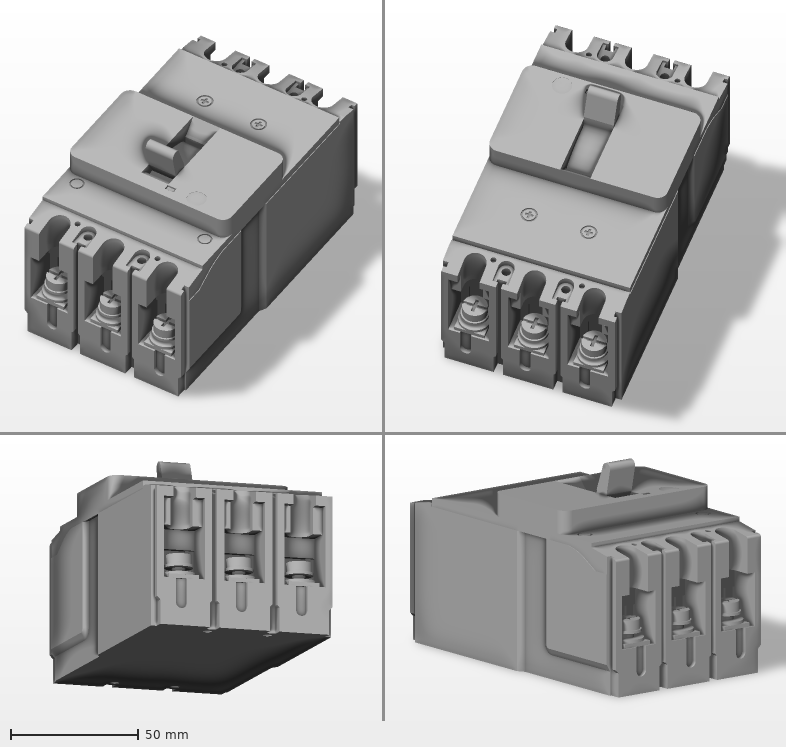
import cadquery as cq
import math


length = 130.0
width = 75.0
height = 82.7
half_length = length / 2
half_width = width / 2
pole_count = 3
pole_pitch = width / pole_count
pole_xs = [(i - (pole_count - 1) / 2) * pole_pitch for i in range(pole_count)]
slot_xs = [(i - pole_count / 2) * pole_pitch for i in range(pole_count + 1)]
ends = (-1, 1)
reach = 6.5

deck_top = 69.5
plate_top = 60.0
seam_z = 56.7
front_plate_y = -50.5
rear_plate_y = 50.2
front_step_z = 58.2
front_edge_z = 55.5
rear_flat_y = 53.7
rear_flat_z = 57.7
rear_edge_z = 55.5
front_edge_radius = 1.0
seam_dip_start_y = -35.6
seam_dip_middle = (-40.5, 55.6)
seam_dip_end = (-44.7, 54.1)
seam_low_y = -53.2
seam_low_z = 49.3
rear_groove = 0.4
cover_margin = 0.3

deck_front_y = -33.0
deck_rear_y = 11.7
deck_corner = 4.2

relief_depth = 1.7
relief_slope = 60.0
relief_run = relief_depth * math.tan(math.radians(relief_slope))
relief_rear_y = -3.8
panel_rear_y = -19.5
panel_bottom_z = 9.8
panel_corner = 4.4

neck_width = 2.1
inner_tee_width = 3.9
corner_tee_width = 4.8
neck_depth = 2.3
slot_depth = 4.5
slot_flare_z = 9.8

fixing_y = 56.0
fixing_diameter = 3.6
fixing_pocket_width = 6.6
fixing_pocket_z = 54.9
pin_x = 18.6
pin_y = 54.1
pin_diameter = 2.3
pin_depth = 2.6

terminal_y = 57.7
access_width = 9.2
pocket_width = 17.0
pocket_floor = 19.0
pocket_top = 40.7
pocket_step_z = 32.8
rear_recess_top = 51.5
rear_recess_depth = 3.8
upper_pocket_y = 52.0
lower_pocket_y = 50.7
recess_width = 10.3
recess_y = 49.4
bar_width = 12.6
bar_thickness = 1.7
bar_end_y = 64.2
keyway_offset = 1.3
keyway_width = 4.7
keyway_bottom = 6.9
keyway_depth = 2.0
screw_discs = [(13.3, 1.3), (5.5, 2.2), (11.5, 1.2), (10.1, 4.0)]
drive_width = 1.4
drive_length = 5.8
drive_depth = 1.3

cover_screw_y = 30.0
cover_screw_diameter = 6.8
cover_screw_head = 5.2
cover_drive_length = 3.4
cover_drive_width = 1.0
plug_x = 29.8
plug_y = -36.9
plug_diameter = 6.0
plug_head = 4.7
ring_depth = 0.6
button_x = 20.0
button_y = -27.5
button_diameter = 7.9
button_depth = 0.1
notch_rear_y = -27.0
notch_length = 2.3
notch_width = 4.0
notch_depth = 1.3
notch_gap = 0.4

window_width = 12.6
window_front_y = -26.5
window_foot_front_y = -23.1
window_foot_front_z = 67.1
window_foot_rear_y = 6.8
window_foot_rear_z = 63.7
well_rear_y = 5.8
well_rear_z = 63.0
window_floor = 52.0
drum_width = 12.5
drum_y = -10.9
drum_z = 28.6
drum_radius = 36.8
drum_rear_y = 1.8
drum_edge_z = 59.8
drum_round_y = 4.3
drum_round_z = 61.8
tip_y = -21.0
tip_radius = 2.3
tip_z = height - tip_radius
back_lean = math.radians(21.0)
front_lean = math.radians(12.0)
back_length = 10.9
front_length = 10.4
neck_y = -14.8
flare_y = -13.1
neck_front_y = -18.7


def block(x0, x1, y0, y1, z0, z1):
    """Box between two opposite corners."""
    return cq.Workplane("XY").box(x1 - x0, y1 - y0, z1 - z0, centered=False).translate((x0, y0, z0))


def wide_block(x, wide, y0, y1, z0, z1):
    """Box centred on x that spans y0 to y1 in either order."""
    return block(x - wide / 2, x + wide / 2, min(y0, y1), max(y0, y1), z0, z1)


def rod(x, y, z, diameter, tall):
    """Upright cylinder standing on height z."""
    return cq.Workplane("XY", origin=(x, y, z)).circle(diameter / 2).extrude(tall)


def cross(x, y, z, size_x, size_y, wide, deep):
    """Cross-shaped tool of the given depth below height z."""
    arm_x = wide_block(x, size_x, y - wide / 2, y + wide / 2, z - deep, z + reach)
    arm_y = wide_block(x, wide, y - size_y / 2, y + size_y / 2, z - deep, z + reach)
    return arm_x.union(arm_y)


def shell():
    """Solid side profile of base and cover plate, with the raised deck on top."""
    profile = [
        (-half_length, 0),
        (half_length, 0),
        (half_length, rear_edge_z),
        (rear_flat_y, rear_flat_z),
        (rear_plate_y + rear_groove, rear_flat_z),
        (rear_plate_y + rear_groove, seam_z),
        (rear_plate_y, seam_z),
        (rear_plate_y, plate_top),
        (front_plate_y, plate_top),
        (front_plate_y, front_step_z),
        (-half_length, front_edge_z),
    ]
    body = cq.Workplane("YZ").polyline(profile).close().extrude(half_width, both=True)
    front_edge = cq.selectors.NearestToPointSelector((0, -half_length, front_edge_z))
    body = body.edges(front_edge).fillet(front_edge_radius)
    for side in (-1, 1):
        body = body.cut(side_relief(side)).cut(cover_setback(side))
    deck_half = half_width - cover_margin
    deck = block(-deck_half, deck_half, deck_front_y, deck_rear_y, plate_top, deck_top)
    return body.union(deck.edges("|Z").fillet(deck_corner))


def side_relief(side):
    """Sloped-wall relief of a long side, leaving the raised panel standing."""
    outer = half_width
    inner = half_width - relief_depth
    wedge = [
        (outer, relief_rear_y),
        (inner, relief_rear_y - relief_run),
        (inner, -half_length - reach),
        (outer + reach, -half_length - reach),
        (outer + reach, relief_rear_y),
    ]
    relief = cq.Workplane("XY").polyline(wedge).close().extrude(seam_z)
    overrun = 3 * reach
    panel_length = half_length + panel_rear_y + overrun
    panel_height = seam_z - panel_bottom_z + overrun
    panel_y = panel_rear_y - panel_length / 2
    panel_z = panel_bottom_z + panel_height / 2
    panel = (
        cq.Workplane("YZ", origin=(inner, panel_y, panel_z))
        .sketch()
        .rect(panel_length, panel_height)
        .vertices()
        .fillet(panel_corner)
        .finalize()
        .extrude(relief_depth, taper=relief_slope)
    )
    relief = relief.cut(panel)
    return relief if side > 0 else relief.mirror("YZ")


def cover_setback(side):
    """Thin strip above the seam that makes the cover narrower than the base."""
    strip = (
        cq.Workplane("YZ", origin=(half_width - cover_margin, 0, 0))
        .moveTo(rear_plate_y + rear_groove, seam_z)
        .lineTo(seam_dip_start_y, seam_z)
        .threePointArc(seam_dip_middle, seam_dip_end)
        .lineTo(seam_low_y, seam_low_z)
        .lineTo(-half_length, seam_low_z)
        .lineTo(-half_length, plate_top)
        .lineTo(rear_plate_y + rear_groove, plate_top)
        .close()
        .extrude(reach)
    )
    return strip if side > 0 else strip.mirror("YZ")


def pole_slot(x, end, tee_width):
    """T-shaped slot beside a pole, its neck flared to full width near the bottom."""
    outer_y = end * (half_length + reach)
    tee = wide_block(
        x, tee_width, end * (half_length - slot_depth), end * (half_length - neck_depth), -reach, deck_top
    )
    flare = (tee_width - neck_width) / 2
    neck_profile = [
        (-tee_width / 2, -reach),
        (tee_width / 2, -reach),
        (tee_width / 2, slot_flare_z),
        (neck_width / 2, slot_flare_z + flare),
        (neck_width / 2, deck_top),
        (-neck_width / 2, deck_top),
        (-neck_width / 2, slot_flare_z + flare),
        (-tee_width / 2, slot_flare_z),
    ]
    neck = (
        cq.Workplane("XZ", origin=(x, end * (half_length - neck_depth), 0))
        .polyline(neck_profile)
        .close()
        .extrude(end * (half_length - neck_depth) - outer_y)
    )
    return tee.union(neck)


def fixing_hole(x, end):
    """Through hole in a round-ended pocket that opens into the pole slot."""
    hole = rod(x, end * fixing_y, -reach, fixing_diameter, deck_top)
    pocket = rod(x, end * fixing_y, fixing_pocket_z, fixing_pocket_width, deck_top)
    mouth = wide_block(
        x, fixing_pocket_width, end * fixing_y, end * (half_length - neck_depth), fixing_pocket_z, deck_top
    )
    return hole.union(pocket).union(mouth)


def pin_hole(x, end):
    """Small blind hole in the sloped end of the housing."""
    return rod(x, end * pin_y, rear_flat_z - pin_depth, pin_diameter, reach)


def terminal_cavity(x, end):
    """Screwdriver channel, stepped terminal pocket and the keyway below it."""
    outer_y = end * (half_length + reach)
    channel = rod(x, end * terminal_y, pocket_step_z, access_width, deck_top)
    mouth = wide_block(x, access_width, end * terminal_y, outer_y, pocket_step_z, deck_top)
    upper = wide_block(x, pocket_width, end * upper_pocket_y, outer_y, pocket_step_z, pocket_top)
    lower = wide_block(x, pocket_width, end * lower_pocket_y, outer_y, pocket_floor, pocket_step_z)
    recess = wide_block(x, recess_width, end * recess_y, outer_y, pocket_floor, pocket_step_z)
    key_x = x + keyway_offset
    key_y = end * (half_length - keyway_depth)
    key_centre_z = keyway_bottom + keyway_width / 2
    keyway = wide_block(key_x, keyway_width, key_y, outer_y, key_centre_z, pocket_floor)
    key_end = (
        cq.Workplane("XZ", origin=(key_x, key_y, key_centre_z))
        .circle(keyway_width / 2)
        .extrude(key_y - outer_y)
    )
    cavity = channel
    for piece in (mouth, upper, lower, recess, keyway, key_end):
        cavity = cavity.union(piece)
    return cavity


def rear_recess(x):
    """Shallow recess that carries a terminal pocket of the +Y end higher up the end face."""
    recess_foot_y = half_length - rear_recess_depth
    return wide_block(x, pocket_width, recess_foot_y, half_length + reach, pocket_step_z, rear_recess_top)


def terminal(x, end):
    """Connection bar on the pocket floor with its screw and washers."""
    bar_top = pocket_floor + bar_thickness
    part = wide_block(x, bar_width, end * lower_pocket_y, end * bar_end_y, pocket_floor, bar_top)
    z = bar_top
    for diameter, thickness in screw_discs:
        part = part.union(rod(x, end * terminal_y, z, diameter, thickness))
        z += thickness
    head_diameter = screw_discs[-1][0]
    drive = cross(x, end * terminal_y, z, head_diameter + drive_width, drive_length, drive_width, drive_depth)
    return part.cut(drive)


def ring_groove(x, y, outer, inner):
    """Annular groove around a screw head set flush in the cover plate."""
    z = plate_top - ring_depth
    return rod(x, y, z, outer, ring_depth).cut(rod(x, y, z, inner, ring_depth))


def handle_window():
    """Opening for the handle, with sloped end walls above a straight-sided well."""
    profile = [
        (window_front_y, deck_top),
        (window_foot_front_y, window_foot_front_z),
        (window_foot_front_y, window_floor),
        (well_rear_y, window_floor),
        (well_rear_y, well_rear_z),
        (window_foot_rear_y, window_foot_rear_z),
        (deck_rear_y, deck_top),
    ]
    return cq.Workplane("YZ").polyline(profile).close().extrude(window_width / 2, both=True)


def cover_cuts():
    """Handle window, button, notch and screw recesses of the cover."""
    cuts = [handle_window()]
    cuts.append(rod(button_x, button_y, deck_top - button_depth, button_diameter, button_depth))
    notch_x = (window_width + notch_width) / 2
    notch_front_y = notch_rear_y - notch_length
    notch_floor = deck_top - notch_depth
    notch = wide_block(notch_x, notch_width, notch_front_y, notch_rear_y, notch_floor, deck_top)
    pad = wide_block(
        notch_x,
        notch_width - 2 * notch_gap,
        notch_front_y + notch_gap,
        notch_rear_y - notch_gap,
        notch_floor,
        deck_top - notch_gap,
    )
    cuts.append(notch.cut(pad))
    for x in slot_xs[1:-1]:
        cuts.append(ring_groove(x, cover_screw_y, cover_screw_diameter, cover_screw_head))
        cuts.append(
            cross(x, cover_screw_y, plate_top, cover_drive_length, cover_drive_length,
                  cover_drive_width, ring_depth)
        )
    for x in (-plug_x, plug_x):
        cuts.append(ring_groove(x, plug_y, plug_diameter, plug_head))
    return cuts


def make_housing():
    """Base, cover and terminals as one solid."""
    body = shell()
    for cut in cover_cuts():
        body = body.cut(cut)
    for end in ends:
        for x in (slot_xs[0], slot_xs[-1]):
            body = body.cut(pole_slot(x, end, corner_tee_width))
        for x in slot_xs[1:-1]:
            body = body.cut(pole_slot(x, end, inner_tee_width))
            body = body.cut(fixing_hole(x, end))
        for x in (-pin_x, pin_x):
            body = body.cut(pin_hole(x, end))
        for x in pole_xs:
            body = body.cut(terminal_cavity(x, end))
            body = body.union(terminal(x, end))
    for x in pole_xs:
        body = body.cut(rear_recess(x))
    return body


def drum_height(y):
    """Height of the drum surface at y."""
    return drum_z + math.sqrt(drum_radius**2 - (y - drum_y) ** 2)


def make_handle():
    """Toggle handle: drum segment filling the window well, with the lever on its neck."""
    back_tip = (tip_y + tip_radius * math.cos(back_lean), tip_z + tip_radius * math.sin(back_lean))
    front_tip = (tip_y - tip_radius * math.cos(front_lean), tip_z - tip_radius * math.sin(front_lean))
    back_foot = (
        back_tip[0] + back_length * math.sin(back_lean),
        back_tip[1] - back_length * math.cos(back_lean),
    )
    front_foot = (
        front_tip[0] + front_length * math.sin(front_lean),
        front_tip[1] - front_length * math.cos(front_lean),
    )
    lever = (
        cq.Workplane("YZ")
        .moveTo(*back_foot)
        .lineTo(*back_tip)
        .threePointArc((tip_y, tip_z + tip_radius), front_tip)
        .lineTo(*front_foot)
        .close()
        .extrude(window_width / 2, both=True)
    )
    flare_radius = neck_y - flare_y
    flare_z = drum_height(flare_y)
    flare_mid = (
        flare_y + flare_radius * math.sin(math.pi / 4),
        flare_z - flare_radius * (1 - math.cos(math.pi / 4)),
    )
    drum_arc_middle_y = (drum_rear_y + flare_y) / 2
    front_arc_middle_y = (neck_front_y + window_foot_front_y) / 2
    drum = (
        cq.Workplane("YZ")
        .moveTo(window_foot_front_y, window_floor)
        .lineTo(well_rear_y, window_floor)
        .lineTo(well_rear_y, drum_edge_z)
        .threePointArc((drum_round_y, drum_round_z), (drum_rear_y, drum_height(drum_rear_y)))
        .threePointArc((drum_arc_middle_y, drum_height(drum_arc_middle_y)), (flare_y, flare_z))
        .threePointArc(flare_mid, (neck_y, flare_z - flare_radius))
        .lineTo(*back_foot)
        .lineTo(*front_foot)
        .lineTo(neck_front_y, drum_height(neck_front_y))
        .threePointArc(
            (front_arc_middle_y, drum_height(front_arc_middle_y)),
            (window_foot_front_y, drum_height(window_foot_front_y)),
        )
        .close()
        .extrude(drum_width / 2, both=True)
    )
    return drum.union(lever)


housing = make_housing()
handle = make_handle()
result = cq.Compound.makeCompound([housing.val(), handle.val()])